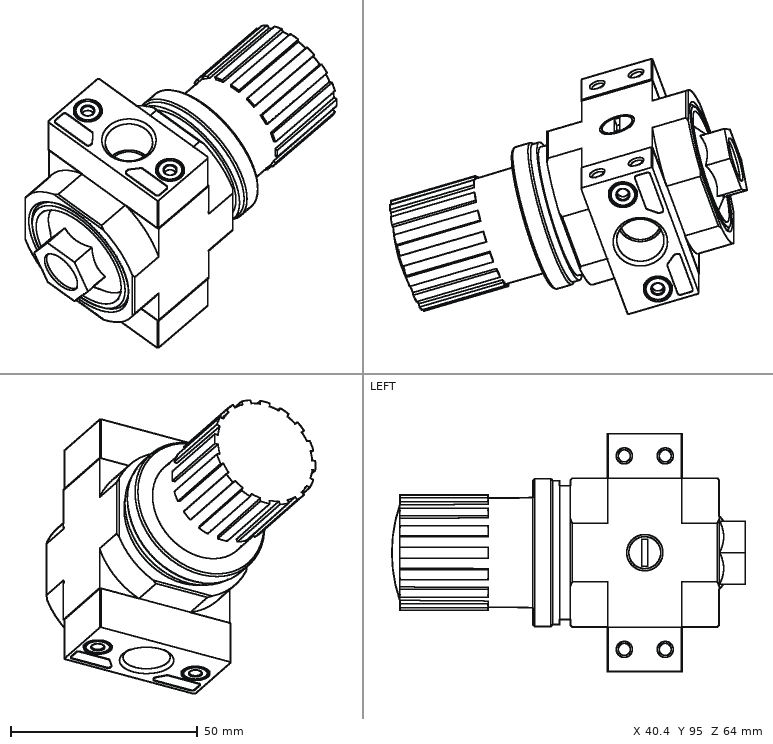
import cadquery as cq
import math


body_half = 20.0
body_radius = 21.5
body_chamfer = 0.5
block_half_depth = 10.0
flow_dia = 11.0
gauge_port_dia = 9.73
gauge_plug_dia = 8.57
gauge_slot_width = 1.5
gauge_slot_length = 7.2
gauge_slot_depth = 2.0

plate_thickness = 12.0
plate_width = 40.2
plate_overhang = 0.4
plate_edge_chamfer = 0.3
plate_depth = 2 * block_half_depth + 0.2
port_mouth_dia = 14.6
port_thread_dia = 12.7
port_bottom_dia = 12.2
drill_dia = 3.24
drill_mouth_dia = 4.3
drill_depth = 8.0
drill_spacing = 11.0
drill_tip_angle = 118.0
label_depth = 0.2
label_inner_x = 6.6
label_slant_x = 8.9
label_tip_height = 1.5
label_margin = 1.15
label_height = 4.3
label_corner_radius = 0.7
label_bottom_y = -8.9

screw_spacing = 30.0
screw_head_dia = 7.0
screw_seat_dia = 7.7
screw_head_height = 4.0
screw_head_chamfer = 0.3
screw_shank_dia = 4.0
screw_depth = 8.0
socket_dia = 3.24
socket_mouth_dia = 3.7
socket_depth = 2.0

plug_radius = 17.6
plug_chamfer = 0.65
seat_mouth_radius = 18.2
plug_base_y = -8.0
plug_bore_radius = 15.5
cone_base_radius = 14.6
cone_base_y = -16.1
cone_slope = 40.0
hex_across_flats = 17.0
hex_end_y = -27.0
hex_recess_dia = 12.0
hex_recess_depth = 0.8

collar_radius = 19.9
collar_chamfer = 0.55
neck_radius = 18.0
neck_end_y = 22.9
step_end_y = 24.7
collar_end_y = 30.1

knob_base_radius = 14.85
knob_end_radius = 14.55
knob_rib_dia = 31.0
rib_count = 16
rib_width = 2.9
rib_start_y = 42.1
rib_end_y = 65.8
knob_end_y = 68.0
crown_radius = 13.0

SIDES = (-1, 1)
plate_outer_z = body_half + plate_thickness
plate_middle_z = body_half + plate_thickness / 2
plate_center_x = plate_width / 2 - body_half - plate_overhang


def y_cylinder(diameter, y_start, y_end):
    """Cylinder on the main axis between two Y positions."""
    return cq.Workplane("XZ", origin=(0, y_start, 0)).circle(diameter / 2).extrude(y_start - y_end)


def y_revolve(profile):
    """Solid of revolution about Y from a closed wire drawn in the XY plane."""
    return profile.close().revolve(360, (0, 0, 0), (0, 1, 0))


def cone_tip(diameter):
    """Height of a drill tip of the given diameter."""
    return diameter / 2 / math.tan(math.radians(drill_tip_angle / 2))


def make_housing():
    body = y_cylinder(2 * body_radius, -body_half, body_half)
    flats = cq.Workplane().box(2 * body_half, 2 * body_half, 2 * body_half)
    body = body.intersect(flats.faces("<Y or >Y").chamfer(body_chamfer))
    block = cq.Workplane().box(2 * body_half, 2 * block_half_depth, 2 * body_half)
    flow = cq.Workplane().circle(flow_dia / 2).extrude(body_half, both=True)

    seat_edge_y = seat_mouth_radius - plug_radius - body_half
    seat = y_revolve(
        cq.Workplane()
        .moveTo(0, plug_base_y)
        .lineTo(plug_radius, plug_base_y)
        .lineTo(plug_radius, seat_edge_y)
        .lineTo(seat_mouth_radius, -body_half)
        .lineTo(0, -body_half)
    )
    return body.union(block).cut(flow).cut(seat).cut(make_gauge_port())


def make_gauge_port():
    """Countersunk ring and screwdriver slot of the closed gauge port on the -X side."""
    countersink = (gauge_port_dia - gauge_plug_dia) / 2
    ring = (
        cq.Workplane("XY")
        .moveTo(-body_half, gauge_port_dia / 2)
        .lineTo(-body_half, gauge_plug_dia / 2)
        .lineTo(-body_half + countersink, gauge_plug_dia / 2)
        .close()
        .revolve(360, (0, 0, 0), (1, 0, 0))
    )
    slot = cq.Workplane("YZ", origin=(-body_half, 0, 0)).rect(gauge_slot_width, gauge_slot_length)
    return ring.union(slot.extrude(gauge_slot_depth))


def make_port():
    """Tapered flow port of the upper plate with a countersunk mouth."""
    mouth_depth = (port_mouth_dia - port_thread_dia) / 2
    return (
        cq.Workplane("XZ")
        .moveTo(0, plate_outer_z)
        .lineTo(port_mouth_dia / 2, plate_outer_z)
        .lineTo(port_thread_dia / 2, plate_outer_z - mouth_depth)
        .lineTo(port_bottom_dia / 2, body_half)
        .lineTo(0, body_half)
        .close()
        .revolve(360, (0, 0, 0), (0, 1, 0))
    )


def make_drill():
    """Blind hole along X that enters the upper plate from its -X face, at Y = 0."""
    face_x = plate_center_x - plate_width / 2
    mouth_depth = (drill_mouth_dia - drill_dia) / 2
    return (
        cq.Workplane("XY")
        .moveTo(face_x, 0)
        .lineTo(face_x, drill_mouth_dia / 2)
        .lineTo(face_x + mouth_depth, drill_dia / 2)
        .lineTo(face_x + drill_depth, drill_dia / 2)
        .lineTo(face_x + drill_depth + cone_tip(drill_dia), 0)
        .close()
        .revolve(360, (0, 0, 0), (1, 0, 0))
        .translate((0, 0, plate_middle_z))
    )


def make_label(side):
    """Shallow label field on the upper plate, cut off at a slant beside the port."""
    outer_x = side * plate_width / 2 + plate_center_x - side * label_margin
    return (
        cq.Workplane("XY", origin=(0, label_bottom_y, plate_outer_z))
        .moveTo(outer_x, 0)
        .lineTo(outer_x, label_height)
        .lineTo(side * label_slant_x, label_height)
        .lineTo(side * label_inner_x, label_tip_height)
        .lineTo(side * label_inner_x, 0)
        .close()
        .extrude(-label_depth)
        .edges("|Z")
        .fillet(label_corner_radius)
    )


def make_plate():
    """Upper connection plate, without the screw seats."""
    plate = (
        cq.Workplane("XY", origin=(plate_center_x, 0, plate_middle_z))
        .box(plate_width, plate_depth, plate_thickness)
        .edges("|Z")
        .chamfer(plate_edge_chamfer)
    )
    plate = plate.cut(make_port())
    for side in SIDES:
        plate = plate.cut(make_label(side))
        plate = plate.cut(make_drill().translate((0, side * drill_spacing / 2, 0)))
    return plate


def make_screw_space(x):
    """Room for a screw in the upper plate and in the housing below it."""
    head = cq.Workplane("XY", origin=(x, 0, plate_outer_z)).circle(screw_seat_dia / 2)
    shank = cq.Workplane("XY", origin=(x, 0, plate_outer_z)).circle(screw_shank_dia / 2)
    return head.extrude(-screw_head_height).union(shank.extrude(-plate_thickness - screw_depth))


def make_screw(x):
    """Socket head screw of the upper plate."""
    head = (
        cq.Workplane("XY", origin=(x, 0, plate_outer_z))
        .circle(screw_head_dia / 2)
        .extrude(-screw_head_height)
        .faces(">Z")
        .chamfer(screw_head_chamfer)
    )
    shank = cq.Workplane("XY", origin=(x, 0, plate_outer_z - screw_head_height))
    shank = shank.circle(screw_shank_dia / 2).extrude(screw_head_height - plate_thickness - screw_depth)
    mouth_depth = (socket_mouth_dia - socket_dia) / 2
    socket = (
        cq.Workplane("XZ")
        .moveTo(0, plate_outer_z)
        .lineTo(socket_mouth_dia / 2, plate_outer_z)
        .lineTo(socket_dia / 2, plate_outer_z - mouth_depth)
        .lineTo(socket_dia / 2, plate_outer_z - socket_depth)
        .lineTo(0, plate_outer_z - socket_depth - cone_tip(socket_dia))
        .close()
        .revolve(360, (0, 0, 0), (0, 1, 0))
        .translate((x, 0, 0))
    )
    return head.union(shank).cut(socket)


def make_plug():
    """Bottom plug: a ring around a cone that carries a hexagon."""
    corner_radius = plug_bore_radius - cone_base_radius
    cone_top_radius = hex_recess_dia / 2
    cone_height = (cone_base_radius - cone_top_radius) * math.tan(math.radians(cone_slope))
    plug = y_revolve(
        cq.Workplane()
        .moveTo(0, plug_base_y)
        .lineTo(plug_radius, plug_base_y)
        .lineTo(plug_radius, plug_chamfer - body_half)
        .lineTo(plug_radius - plug_chamfer, -body_half)
        .lineTo(plug_bore_radius, -body_half)
        .lineTo(plug_bore_radius, cone_base_y - corner_radius)
        .tangentArcPoint((cone_base_radius, cone_base_y), relative=False)
        .lineTo(cone_top_radius, cone_base_y - cone_height)
        .lineTo(0, cone_base_y - cone_height)
    )
    hex_across_corners = hex_across_flats / math.cos(math.radians(30))
    hexagon = (
        cq.Workplane("XZ", origin=(0, plug_base_y, 0))
        .polygon(6, hex_across_corners)
        .extrude(plug_base_y - hex_end_y)
    )
    recess = y_cylinder(hex_recess_dia, hex_end_y + hex_recess_depth, hex_end_y)
    return plug.union(hexagon).cut(recess)


def make_collar():
    rim_radius = collar_radius - collar_chamfer
    return y_revolve(
        cq.Workplane()
        .moveTo(0, body_half)
        .lineTo(neck_radius, body_half)
        .lineTo(neck_radius, neck_end_y)
        .lineTo(rim_radius, neck_end_y)
        .lineTo(rim_radius, step_end_y)
        .lineTo(collar_radius, step_end_y + collar_chamfer)
        .lineTo(collar_radius, collar_end_y - collar_chamfer)
        .lineTo(rim_radius, collar_end_y)
        .lineTo(0, collar_end_y)
    )


def make_knob():
    crown_height = knob_end_y - rib_end_y
    crown_sphere = (crown_radius**2 + crown_height**2) / (2 * crown_height)
    half_way = math.asin(crown_radius / crown_sphere) / 2
    crown_middle = (
        crown_sphere * math.sin(half_way),
        knob_end_y - crown_sphere * (1 - math.cos(half_way)),
    )
    knob = y_revolve(
        cq.Workplane()
        .moveTo(0, collar_end_y)
        .lineTo(knob_base_radius, collar_end_y)
        .lineTo(knob_end_radius, rib_end_y)
        .lineTo(crown_radius, rib_end_y)
        .threePointArc(crown_middle, (0, knob_end_y))
    )
    rib_stock = y_cylinder(knob_rib_dia, rib_start_y, rib_end_y)
    bars = cq.Workplane("XZ", origin=(0, rib_start_y, 0))
    bars = bars.rect(rib_width, knob_rib_dia).extrude(rib_start_y - rib_end_y)
    for index in range(rib_count // 2):
        ribs = rib_stock.intersect(bars.rotate((0, 0, 0), (0, 1, 0), index * 360 / rib_count))
        knob = knob.union(ribs)
    return knob


housing = make_housing()
plug = make_plug()
collar = make_collar()
knob = make_knob()

upper_plate = make_plate()
upper_screws = []
for side in SIDES:
    screw_x = side * screw_spacing / 2
    screw_space = make_screw_space(screw_x)
    upper_plate = upper_plate.cut(screw_space)
    housing = housing.cut(screw_space).cut(screw_space.mirror("XY"))
    upper_screws.append(make_screw(screw_x))

plates = [upper_plate, upper_plate.mirror("XY")]
screws = upper_screws + [screw.mirror("XY") for screw in upper_screws]

bodies = [housing, plug, collar, knob, *plates, *screws]
result = cq.Compound.makeCompound([body.val() for body in bodies])